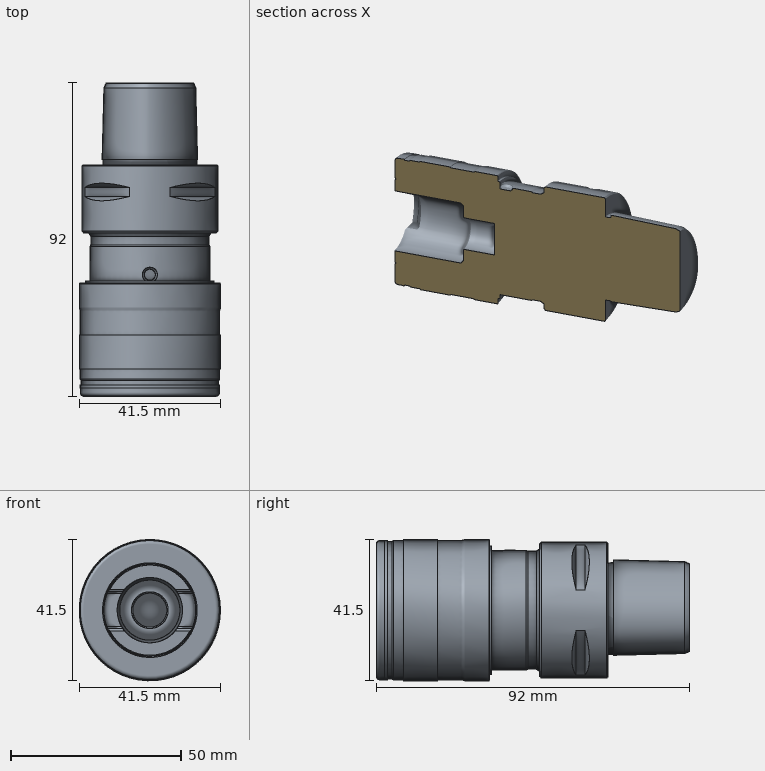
import cadquery as cq
import math

FRONT_Y = -68.0

SHANK_LENGTH = 24.0
LOBE_HEIGHT = 0.75
SHANK_BASE_RADIUS = 14.0
TAPER_START_Y = 2.5
TAPER_RATE = 1 / 40
TIP_CHAMFER_LENGTH = 1.45
TIP_CHAMFER_DEPTH = 0.65
SHANK_CURVE_POINTS = 72
RELIEF_LENGTH = 1.6
ROOT_UNDERCUT = 0.2
ROOT_CONE_START_RADIUS = 13.85
ROOT_CONE_END_RADIUS = 14.0

FLANGE_RADIUS = 20.0
FLANGE_BACK_Y = -20.0
FLANGE_EDGE = 0.4
FLANGE_BACK_EDGE = 0.55
NOTCH_Y = -8.0
NOTCH_FLOOR_DISTANCE = 17.73
NOTCH_FLOOR_WIDTH = 2.55
NOTCH_FLANK_ANGLE = 30.0
NOTCH_OVERCUT = 1.0
NOTCH_ANGLES = (45, 135, 225, 315)

NECK_CONE_RADIUS = 18.0
NECK_CONE_END_Y = -21.0
NECK_RADIUS = 17.35
NECK_STEP_START_Y = -23.5
NECK_STEP_END_Y = -24.05
SLEEVE_NECK_RADIUS = 17.6
COLLAR_RADIUS = 18.9
COLLAR_Y = -34.1

BODY_RADIUS = 20.75
BODY_RELIEF_RADIUS = 20.5
BODY_Y = -34.75
BODY_EDGE = 0.2
RELIEF_START_Y = -42.0
RELIEF_FULL_Y = -42.9
BAND_START_Y = -50.0
BAND_END_Y = -60.0
GROOVE_START_Y = -62.9
GROOVE_FLOOR_Y = -63.4
GROOVE_END_Y = -64.75
GROOVE_RADIUS = 20.2
RING_EDGE_Y = -65.55
RING_RADIUS = 20.45
NOSE_ROUND_Y = -67.0
NOSE_FACE_RADIUS = 19.35

SOCKET_RADIUS = 9.6
SOCKET_DEPTH = 22.0
SOCKET_FLOOR_CHAMFER = 0.77
PILOT_RADIUS = 5.0
PILOT_DEPTH = 10.0
PILOT_CHAMFER = 0.4
SLOT_HALF_WIDTH = 5.45
SLOT_DEPTH = 4.2
SLOT_CHAMFER = 0.6
SLOT_CHAMFER_DEPTH = 0.4
SLOT_END_RADIUS = 13.5
SNAP_GROOVE_RADIUS = 13.8
SNAP_GROOVE_START = 1.6
SNAP_GROOVE_END = 2.6
RING_GROOVE_OUTER = 13.9
RING_GROOVE_INNER = 13.25

RECESS_Y = -32.3
RECESS_MOUTH_RADIUS = 2.2
RECESS_RADIUS = 1.63
RECESS_DEPTH = 1.0


def revolve_about_y(points):
    """Solid of revolution about Y from a closed (radius, y) outline."""
    return cq.Workplane("XY").polyline(points).close().revolve(360, (0, 0, 0), (0, 1, 0))


def disc(radius, start_y, end_y):
    return revolve_about_y([(0, start_y), (radius, start_y), (radius, end_y), (0, end_y)])


def lobed_wire(radius, y):
    """Constant-width curve with mean radius `radius`, in the plane at the given y."""
    points = []
    for i in range(SHANK_CURVE_POINTS):
        angle = 2 * math.pi * i / SHANK_CURVE_POINTS
        support = radius + LOBE_HEIGHT * math.cos(3 * angle)
        slope = -3 * LOBE_HEIGHT * math.sin(3 * angle)
        x = support * math.sin(angle) + slope * math.cos(angle)
        z = support * math.cos(angle) - slope * math.sin(angle)
        points.append(cq.Vector(x, y, z))
    return cq.Wire.assembleEdges([cq.Edge.makeSpline(points, periodic=True)])


def lobed_section(start_radius, start_y, end_radius, end_y):
    wires = [lobed_wire(start_radius, start_y), lobed_wire(end_radius, end_y)]
    return cq.Workplane(cq.Solid.makeLoft(wires, True))


def make_shank():
    chamfer_y = SHANK_LENGTH - TIP_CHAMFER_LENGTH
    chamfer_radius = SHANK_BASE_RADIUS - TAPER_RATE * (chamfer_y - TAPER_START_Y)
    tip_radius = chamfer_radius - TIP_CHAMFER_DEPTH
    root_radius = SHANK_BASE_RADIUS - ROOT_UNDERCUT
    root = lobed_section(root_radius, 0, root_radius, RELIEF_LENGTH)
    root = root.intersect(revolve_about_y([
        (0, 0),
        (ROOT_CONE_START_RADIUS, 0),
        (ROOT_CONE_END_RADIUS, RELIEF_LENGTH),
        (0, RELIEF_LENGTH),
    ]))
    base = lobed_section(SHANK_BASE_RADIUS, RELIEF_LENGTH, SHANK_BASE_RADIUS, TAPER_START_Y)
    taper = lobed_section(SHANK_BASE_RADIUS, TAPER_START_Y, chamfer_radius, chamfer_y)
    tip = lobed_section(chamfer_radius, chamfer_y, tip_radius, SHANK_LENGTH)
    return root.union(base).union(taper).union(tip)


def make_body():
    nose_middle = (
        RING_RADIUS - (1 - math.sqrt(0.5)) * (RING_RADIUS - NOSE_FACE_RADIUS),
        NOSE_ROUND_Y - math.sqrt(0.5) * (NOSE_ROUND_Y - FRONT_Y),
    )
    outline = [
        (0, 0),
        (FLANGE_RADIUS - FLANGE_EDGE, 0),
        (FLANGE_RADIUS, -FLANGE_EDGE),
        (FLANGE_RADIUS, FLANGE_BACK_Y + FLANGE_BACK_EDGE),
        (FLANGE_RADIUS - FLANGE_BACK_EDGE, FLANGE_BACK_Y),
        (NECK_CONE_RADIUS, FLANGE_BACK_Y),
        (NECK_RADIUS, NECK_CONE_END_Y),
        (NECK_RADIUS, NECK_STEP_START_Y),
        (SLEEVE_NECK_RADIUS, NECK_STEP_END_Y),
        (SLEEVE_NECK_RADIUS, COLLAR_Y),
        (COLLAR_RADIUS, COLLAR_Y),
        (COLLAR_RADIUS, BODY_Y),
        (BODY_RADIUS - BODY_EDGE, BODY_Y),
        (BODY_RADIUS, BODY_Y - BODY_EDGE),
        (BODY_RADIUS, RELIEF_START_Y),
        (BODY_RELIEF_RADIUS, RELIEF_FULL_Y),
        (BODY_RELIEF_RADIUS, BAND_START_Y),
        (BODY_RADIUS, BAND_START_Y),
        (BODY_RADIUS, BAND_END_Y),
        (BODY_RELIEF_RADIUS, BAND_END_Y),
        (BODY_RELIEF_RADIUS, GROOVE_START_Y),
        (GROOVE_RADIUS, GROOVE_FLOOR_Y),
        (GROOVE_RADIUS, GROOVE_END_Y),
        (BODY_RELIEF_RADIUS, GROOVE_END_Y),
        (BODY_RELIEF_RADIUS, RING_EDGE_Y),
        (RING_RADIUS, RING_EDGE_Y),
        (RING_RADIUS, NOSE_ROUND_Y),
    ]
    profile = cq.Workplane("XY").polyline(outline)
    profile = profile.threePointArc(nose_middle, (NOSE_FACE_RADIUS, FRONT_Y))
    return profile.lineTo(0, FRONT_Y).close().revolve(360, (0, 0, 0), (0, 1, 0))


def make_notch(angle):
    """Trapezoidal gripper notch across the flange rim, turned about Y."""
    height = FLANGE_RADIUS - NOTCH_FLOOR_DISTANCE + NOTCH_OVERCUT
    half_floor = NOTCH_FLOOR_WIDTH / 2
    half_mouth = half_floor + height * math.tan(math.radians(NOTCH_FLANK_ANGLE))
    outline = [
        (NOTCH_Y - half_floor, NOTCH_FLOOR_DISTANCE),
        (NOTCH_Y + half_floor, NOTCH_FLOOR_DISTANCE),
        (NOTCH_Y + half_mouth, NOTCH_FLOOR_DISTANCE + height),
        (NOTCH_Y - half_mouth, NOTCH_FLOOR_DISTANCE + height),
    ]
    notch = cq.Workplane("YZ").polyline(outline).close().extrude(FLANGE_RADIUS, both=True)
    return notch.rotate((0, 0, 0), (0, 1, 0), angle)


def make_socket():
    floor_y = FRONT_Y + SOCKET_DEPTH
    return revolve_about_y([
        (0, FRONT_Y),
        (SOCKET_RADIUS, FRONT_Y),
        (SOCKET_RADIUS, floor_y - SOCKET_FLOOR_CHAMFER),
        (SOCKET_RADIUS - SOCKET_FLOOR_CHAMFER, floor_y),
        (PILOT_RADIUS + PILOT_CHAMFER, floor_y),
        (PILOT_RADIUS, floor_y + PILOT_CHAMFER),
        (PILOT_RADIUS, floor_y + PILOT_DEPTH),
        (0, floor_y + PILOT_DEPTH),
    ])


def make_drive_slot():
    """Cross slot along X, chamfered at mouth and floor, with a snap groove in its round ends."""
    floor_y = FRONT_Y + SLOT_DEPTH
    upper_side = [
        (SLOT_HALF_WIDTH + SLOT_CHAMFER, FRONT_Y),
        (SLOT_HALF_WIDTH, FRONT_Y + SLOT_CHAMFER_DEPTH),
        (SLOT_HALF_WIDTH, floor_y - SLOT_CHAMFER_DEPTH),
        (SLOT_HALF_WIDTH - SLOT_CHAMFER, floor_y),
    ]
    lower_side = [(-z, y) for z, y in reversed(upper_side)]
    outline = [(y, z) for z, y in upper_side + lower_side]
    slot = cq.Workplane("YZ").polyline(outline).close().extrude(BODY_RADIUS, both=True)
    envelope = disc(SLOT_END_RADIUS, FRONT_Y, floor_y)
    groove = disc(SNAP_GROOVE_RADIUS, FRONT_Y + SNAP_GROOVE_START, FRONT_Y + SNAP_GROOVE_END)
    return slot.intersect(envelope.union(groove))


def make_ring_groove():
    """Shallow V groove marking the joint between the spindle and the clamping sleeve."""
    middle = (RING_GROOVE_OUTER + RING_GROOVE_INNER) / 2
    depth = RING_GROOVE_OUTER - middle
    return revolve_about_y([
        (RING_GROOVE_INNER, FRONT_Y),
        (RING_GROOVE_OUTER, FRONT_Y),
        (middle, FRONT_Y + depth),
    ])


def make_screw_recess():
    floor_z = SLEEVE_NECK_RADIUS - RECESS_DEPTH
    chamfer = RECESS_MOUTH_RADIUS - RECESS_RADIUS
    recess = (
        cq.Workplane("XY", origin=(0, RECESS_Y, floor_z)).circle(RECESS_MOUTH_RADIUS)
        .extrude(RECESS_DEPTH).faces("<Z").chamfer(chamfer)
    )
    return recess.intersect(disc(COLLAR_RADIUS, COLLAR_Y, FLANGE_BACK_Y))


result = make_body().union(make_shank())
for notch_angle in NOTCH_ANGLES:
    result = result.cut(make_notch(notch_angle))
for cutter in (make_socket(), make_drive_slot(), make_ring_groove(), make_screw_recess()):
    result = result.cut(cutter)